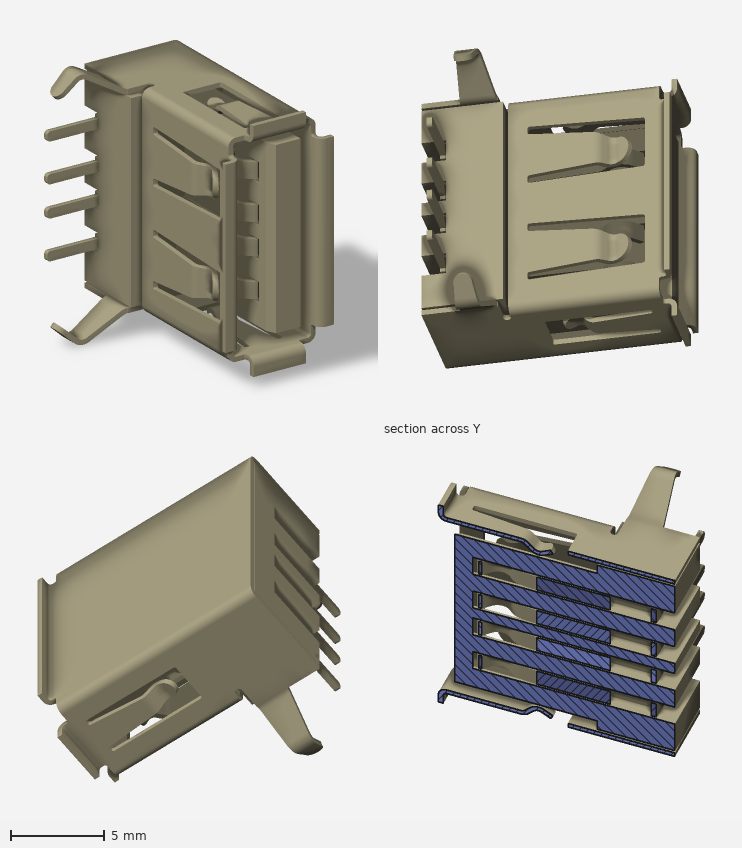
import cadquery as cq
import math


SHEET = 0.3
SHELL_LENGTH = 12.96
SHELL_HALF_HEIGHT = 6.55
SHELL_LOW_Y = 0.62
SHELL_HIGH_Y = 6.27
SHELL_CORNER_RADIUS = 0.5
SHELL_MID_Y = (SHELL_LOW_Y + SHELL_HIGH_Y) / 2

LOWER_PLATE_START = 4.64
RELIEF_WIDTH = 0.44
RELIEF_TOP_Y = 1.54
SIDE_WALL_END = LOWER_PLATE_START - RELIEF_WIDTH

FLANGE_END_X = 13.7
FLANGE_INNER_RADIUS = 0.2
FLANGE_ROOT_RADIUS = 0.15
WIDE_FLANGE_WIDTH = 11.0
WIDE_FLANGE_REACH = 0.68
NARROW_FLANGE_WIDTH = 3.4
NARROW_FLANGE_REACH = 0.785

LEG_CENTRE_X = 3.16
LEG_ROOT_WIDTH = 2.04
LEG_TIP_WIDTH = 1.04
LEG_SPLAY = 30
LEG_TIP_LEAN = 42
LEG_BEND_RADIUS = 0.5
LEG_TIP_BEND_RADIUS = 0.4
LEG_SLOPE_LENGTH = 2.35
LEG_TIP_FLAT = 0.888

SPRING_DIP = 45
SPRING_TIP_RISE = 28
SPRING_BEND_RADIUS = 0.4
SPRING_SLOPE_LENGTH = 0.4
WINDOW_CORNER_RADIUS = 0.12

SIDE_SPRING_ROOT_X = 12.18
SIDE_WINDOW_LENGTH = 5.98
SIDE_WINDOW_WIDTH = 2.49
SIDE_SPRING_FLAT = 3.23
SIDE_SPRING_ROOT_WIDTH = 1.78
SIDE_SPRING_BEND_WIDTH = 1.24
SIDE_SPRING_TIP_WIDTH = 1.02
SIDE_SPRING_TIP_FLAT = 0.1

FRONT_SPRING_Z = 3.0
FRONT_SPRING_ROOT_X = 5.71
FRONT_WINDOW_LENGTH = 6.47
FRONT_WINDOW_ROOT_WIDTH = 3.48
FRONT_WINDOW_END_WIDTH = 2.99
FRONT_SPRING_FLAT = 3.57
FRONT_SPRING_ROOT_WIDTH = 2.56
FRONT_SPRING_BEND_WIDTH = 1.94
FRONT_SPRING_TIP_WIDTH = 1.54
FRONT_SPRING_TIP_FLAT = 0.02

BLOCK_LENGTH = 4.5
BLOCK_TOP_Y = 5.92
BLOCK_HALF_HEIGHT = 6.115
TONGUE_END_X = SHELL_LENGTH
TONGUE_LOW_Y = 3.45
TONGUE_THICKNESS = 1.84
TONGUE_WIDTH = 11.0
TONGUE_LEAD_IN_LENGTH = 0.56
TONGUE_LEAD_IN_RISE = 0.26
SLOT_WIDTH = 1.22
SLOT_TOP_Y = 4.13
SLOT_DEPTH = 1.37
PASSAGE_LOW_Y = 2.9
GROOVE_END_X = 11.69

CONTACT_Z = (-3.5, -1.0, 1.0, 3.5)
CONTACT_WIDTH = 1.0
CONTACT_X = 1.19
CONTACT_STEM_TOP_Y = 3.465
CONTACT_BEND_RADIUS = 0.3
CONTACT_TILT = 4
CONTACT_ARM_LENGTH = 7.28
BUMP_RADIUS = 0.8
BUMP_SLOPE = 45
CONTACT_END_LENGTH = 0.7
TAIL_WIDTH = 0.6
TAIL_LENGTH = 3.3
TAIL_END_RADIUS = 0.2


def box(x_range, y_range, z_range):
    spans = [high - low for low, high in (x_range, y_range, z_range)]
    corner = (x_range[0], y_range[0], z_range[0])
    return cq.Workplane("XY").box(*spans, centered=False).translate(corner)


def straight(length):
    """A flat run of the strip."""
    return (length, 0, 0)


def bend(angle, inner_radius):
    """A bend in degrees; positive turns outward (+Z of the strip's own frame)."""
    return (0, angle, inner_radius + SHEET / 2)


def offset_point(x, z, heading, offset):
    """Point at `offset` outward from (x, z), square to the heading."""
    a = math.radians(heading)
    return (x - offset * math.sin(a), z + offset * math.cos(a))


def bent_strip(steps, width):
    """Strip that starts at X = 0 heading +X with its outer face on Z = 0.

    Returns the strip, the middle of its end edge (x, z) and its final heading in degrees.
    """
    half = SHEET / 2
    x, z, heading = 0, -half, 0
    outer = cq.Workplane("XZ").moveTo(*offset_point(x, z, heading, half))
    inner_start = offset_point(x, z, heading, -half)
    inner_steps = []
    for length, turn, radius in steps:
        if turn == 0:
            x += length * math.cos(math.radians(heading))
            z += length * math.sin(math.radians(heading))
            outer = outer.lineTo(*offset_point(x, z, heading, half))
            inner_steps.append((None, inner_start))
        else:
            to_centre = math.copysign(radius, turn)
            centre = offset_point(x, z, heading, to_centre)
            middle = offset_point(*centre, heading + turn / 2, -to_centre)
            outer_middle = offset_point(*middle, heading + turn / 2, half)
            inner_middle = offset_point(*middle, heading + turn / 2, -half)
            heading += turn
            x, z = offset_point(*centre, heading, -to_centre)
            outer = outer.threePointArc(outer_middle, offset_point(x, z, heading, half))
            inner_steps.append((inner_middle, inner_start))
        inner_start = offset_point(x, z, heading, -half)

    profile = outer.lineTo(*inner_start)
    for middle, end in reversed(inner_steps):
        profile = profile.lineTo(*end) if middle is None else profile.threePointArc(middle, end)
    return profile.close().extrude(width / 2, both=True), (x, z), heading


def tapered_strip(steps, root_width, tip_width):
    """Bent strip that narrows evenly along its plan and ends in a half-round tip."""
    strip, (end_x, end_z), heading = bent_strip(steps, root_width)
    a = math.radians(heading)
    margin = SHEET
    plan = (
        cq.Workplane("XY")
        .polyline([
            (0, -root_width / 2),
            (end_x, -tip_width / 2),
            (end_x + margin, -tip_width / 2),
            (end_x + margin, tip_width / 2),
            (end_x, tip_width / 2),
            (0, root_width / 2),
        ])
        .close()
        .extrude(SHELL_LENGTH, both=True)
    )
    tip_plane = cq.Plane(origin=(end_x, 0, end_z), xDir=(0, 1, 0), normal=(math.sin(a), 0, -math.cos(a)))
    tip = (
        cq.Workplane(tip_plane)
        .moveTo(-tip_width / 2, 0)
        .threePointArc((0, tip_width / 2), (tip_width / 2, 0))
        .close()
        .extrude(SHEET / 2, both=True)
    )
    return strip.intersect(plan).union(tip)


def place(shape, origin, along, outward):
    """Move a shape from its own frame: its +X goes along `along` and its +Z along `outward`."""
    frame = cq.Plane(origin=origin, xDir=along, normal=outward)
    return cq.Workplane(shape.val().moved(cq.Location(frame)))


def shell_tube():
    def rounded_bar(inset):
        return (
            cq.Workplane("YZ")
            .center(SHELL_MID_Y, 0)
            .rect(SHELL_HIGH_Y - SHELL_LOW_Y - 2 * inset, 2 * (SHELL_HALF_HEIGHT - inset))
            .extrude(SHELL_LENGTH)
            .edges("|X")
            .fillet(SHELL_CORNER_RADIUS - inset)
        )

    return rounded_bar(0).cut(rounded_bar(SHEET))


def open_rear(shell):
    """Take away the rear of the lower plate, run the side walls to the board, cut the relief slots."""
    wall_join_y = SHELL_LOW_Y + SHELL_CORNER_RADIUS
    full_height = (-SHELL_HALF_HEIGHT, SHELL_HALF_HEIGHT)
    shell = shell.cut(box((0, LOWER_PLATE_START), (SHELL_LOW_Y, wall_join_y), full_height))
    for side in (-1, 1):
        wall_z = sorted((side * SHELL_HALF_HEIGHT, side * (SHELL_HALF_HEIGHT - SHEET)))
        shell = shell.union(box((0, SIDE_WALL_END), (0, wall_join_y), wall_z))
    relief_radius = RELIEF_WIDTH / 2
    relief = (
        cq.Workplane("XY")
        .moveTo(SIDE_WALL_END, 0)
        .lineTo(SIDE_WALL_END, RELIEF_TOP_Y - relief_radius)
        .threePointArc(
            (SIDE_WALL_END + relief_radius, RELIEF_TOP_Y),
            (LOWER_PLATE_START, RELIEF_TOP_Y - relief_radius),
        )
        .lineTo(LOWER_PLATE_START, 0)
        .close()
        .extrude(SHELL_HALF_HEIGHT, both=True)
    )
    return shell.cut(relief)


def flange(width, reach):
    """Flared lip on a short neck whose root corners are rounded."""
    neck = FLANGE_END_X - SHELL_LENGTH - FLANGE_INNER_RADIUS - SHEET
    lip = reach - FLANGE_INNER_RADIUS
    strip, _, _ = bent_strip([straight(neck), bend(90, FLANGE_INNER_RADIUS), straight(lip)], width)
    r = FLANGE_ROOT_RADIUS
    half = width / 2
    arc_offset = r * (1 - math.sqrt(0.5))
    root = (
        cq.Workplane("XY")
        .moveTo(0, half + r)
        .threePointArc((arc_offset, half + arc_offset), (r, half))
        .lineTo(r, -half)
        .threePointArc((arc_offset, -half - arc_offset), (0, -half - r))
        .close()
        .extrude(-SHEET)
    )
    return strip.union(root)


def leg():
    steps = [
        bend(LEG_SPLAY, LEG_BEND_RADIUS),
        straight(LEG_SLOPE_LENGTH),
        bend(-LEG_SPLAY, LEG_BEND_RADIUS),
        bend(-LEG_TIP_LEAN, LEG_TIP_BEND_RADIUS),
        straight(LEG_TIP_FLAT),
    ]
    return tapered_strip(steps, LEG_ROOT_WIDTH, LEG_TIP_WIDTH)


def spring_window(length, root_opening, end_opening, flat, root_width, bend_width):
    """Cutter for the opening around a flat spring finger rooted at X = 0."""
    opening = [
        (0, -root_opening / 2),
        (length, -end_opening / 2),
        (length, end_opening / 2),
        (0, root_opening / 2),
    ]
    finger = [
        (0, -root_width / 2),
        (flat, -bend_width / 2),
        (flat, bend_width / 2),
        (0, root_width / 2),
    ]
    cutter = cq.Workplane("XY").polyline(opening).close().extrude(-SHEET)
    cutter = cutter.cut(cq.Workplane("XY").polyline(finger).close().extrude(-SHEET))
    return cutter.edges("|Z and (<X or >X)").fillet(WINDOW_CORNER_RADIUS)


def spring_hook(bend_width, tip_width, tip_flat):
    """Inward dip and upturned tip at the free end of a spring finger."""
    steps = [
        bend(-SPRING_DIP, SPRING_BEND_RADIUS),
        straight(SPRING_SLOPE_LENGTH),
        bend(SPRING_DIP + SPRING_TIP_RISE, SPRING_BEND_RADIUS),
        straight(tip_flat),
    ]
    return tapered_strip(steps, bend_width, tip_width)


def add_spring(shell, window, hook, flat, root, along, outward):
    """Open the window around a flat finger and join its hook `flat` away from the root."""
    tip_start = tuple(r + flat * a for r, a in zip(root, along))
    shell = shell.cut(place(window, root, along, outward))
    return shell.union(place(hook, tip_start, along, outward))


def build_shell():
    shell = open_rear(shell_tube())

    wide_flange = flange(WIDE_FLANGE_WIDTH, WIDE_FLANGE_REACH)
    narrow_flange = flange(NARROW_FLANGE_WIDTH, NARROW_FLANGE_REACH)
    mouth = (1, 0, 0)
    shell = shell.union(place(wide_flange, (SHELL_LENGTH, SHELL_LOW_Y, 0), mouth, (0, -1, 0)))
    shell = shell.union(place(wide_flange, (SHELL_LENGTH, SHELL_HIGH_Y, 0), mouth, (0, 1, 0)))

    side_window = spring_window(
        SIDE_WINDOW_LENGTH, SIDE_WINDOW_WIDTH, SIDE_WINDOW_WIDTH,
        SIDE_SPRING_FLAT, SIDE_SPRING_ROOT_WIDTH, SIDE_SPRING_BEND_WIDTH,
    )
    side_hook = spring_hook(SIDE_SPRING_BEND_WIDTH, SIDE_SPRING_TIP_WIDTH, SIDE_SPRING_TIP_FLAT)
    front_window = spring_window(
        FRONT_WINDOW_LENGTH, FRONT_WINDOW_ROOT_WIDTH, FRONT_WINDOW_END_WIDTH,
        FRONT_SPRING_FLAT, FRONT_SPRING_ROOT_WIDTH, FRONT_SPRING_BEND_WIDTH,
    )
    front_hook = spring_hook(FRONT_SPRING_BEND_WIDTH, FRONT_SPRING_TIP_WIDTH, FRONT_SPRING_TIP_FLAT)

    for side in (-1, 1):
        face_z = side * SHELL_HALF_HEIGHT
        outward = (0, 0, side)
        shell = shell.union(place(narrow_flange, (SHELL_LENGTH, SHELL_MID_Y, face_z), mouth, outward))
        shell = shell.union(place(leg(), (LEG_CENTRE_X, 0, face_z), (0, -1, 0), outward))
        side_root = (SIDE_SPRING_ROOT_X, SHELL_MID_Y, face_z)
        shell = add_spring(shell, side_window, side_hook, SIDE_SPRING_FLAT, side_root, (-1, 0, 0), outward)
        front_root = (FRONT_SPRING_ROOT_X, SHELL_LOW_Y, side * FRONT_SPRING_Z)
        shell = add_spring(shell, front_window, front_hook, FRONT_SPRING_FLAT, front_root, mouth, (0, -1, 0))
    return shell.solids()


def build_housing():
    block = box((0, BLOCK_LENGTH), (0, BLOCK_TOP_Y), (-BLOCK_HALF_HEIGHT, BLOCK_HALF_HEIGHT))
    tongue_top_y = TONGUE_LOW_Y + TONGUE_THICKNESS
    tongue = (
        cq.Workplane("XY")
        .polyline([
            (0, TONGUE_LOW_Y),
            (TONGUE_END_X - TONGUE_LEAD_IN_LENGTH, TONGUE_LOW_Y),
            (TONGUE_END_X, TONGUE_LOW_Y + TONGUE_LEAD_IN_RISE),
            (TONGUE_END_X, tongue_top_y),
            (0, tongue_top_y),
        ])
        .close()
        .extrude(TONGUE_WIDTH / 2, both=True)
    )
    housing = block.union(tongue)
    for z in CONTACT_Z:
        slot_z = (z - SLOT_WIDTH / 2, z + SLOT_WIDTH / 2)
        housing = housing.cut(box((0, SLOT_DEPTH), (0, SLOT_TOP_Y), slot_z))
        housing = housing.cut(box((0, GROOVE_END_X), (PASSAGE_LOW_Y, SLOT_TOP_Y), slot_z))
    return housing.solids()


def contact(z):
    steps = [
        straight(CONTACT_STEM_TOP_Y),
        bend(-90 - CONTACT_TILT, CONTACT_BEND_RADIUS),
        straight(CONTACT_ARM_LENGTH),
        bend(CONTACT_TILT - BUMP_SLOPE, BUMP_RADIUS),
        bend(2 * BUMP_SLOPE, BUMP_RADIUS),
        straight(CONTACT_END_LENGTH),
    ]
    blade, _, _ = bent_strip(steps, CONTACT_WIDTH)
    tail = (
        cq.Workplane("XY")
        .rect(TAIL_LENGTH, TAIL_WIDTH)
        .extrude(-SHEET)
        .translate((-TAIL_LENGTH / 2, 0, 0))
        .edges("|Z and <X")
        .fillet(TAIL_END_RADIUS)
    )
    back_x = CONTACT_X - SHEET / 2
    return place(blade.union(tail), (back_x, 0, z), (0, 1, 0), (-1, 0, 0)).solids()


shell = build_shell()
housing = build_housing()
contacts = [contact(z) for z in CONTACT_Z]

result = cq.Compound.makeCompound([shell.val(), housing.val(), *[c.val() for c in contacts]])